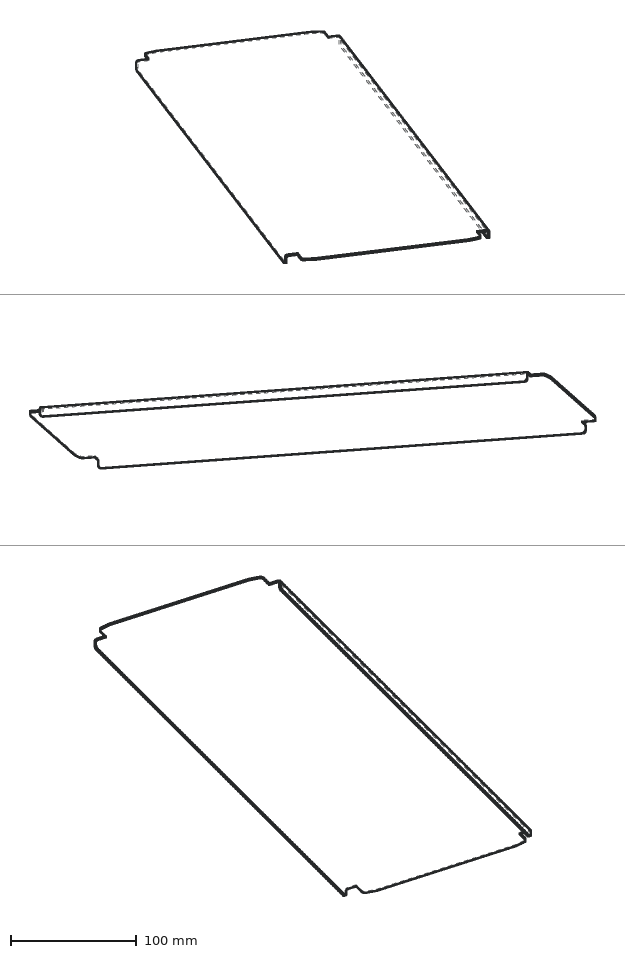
import cadquery as cq

length = 430.5
width = 170.5
height = 8.0

thickness = 1.5
outer_bend_radius = 2.5
inner_bend_radius = outer_bend_radius - thickness

flange_length = 403.5
flange_corner_radius = 2.5
tab_width = 149.5
tab_taper_length = 10.8
tab_taper_inset = 2.0
tab_corner_radius = 2.5


def folded_channel():
    """Flat sheet with a flange bent down along each long side, top face at Z = 0."""
    outside = (
        cq.Workplane("XY")
        .box(flange_length, width, height, centered=(True, True, False))
        .translate((0, 0, -height))
        .edges("|X and >Z")
        .fillet(outer_bend_radius)
    )
    inside_height = height - thickness
    inside = (
        cq.Workplane("XY")
        .box(flange_length, width - 2 * thickness, inside_height, centered=(True, True, False))
        .translate((0, 0, -height))
        .edges("|X and >Z")
        .fillet(inner_bend_radius)
    )
    return outside.cut(inside).edges("|Y and <Z").fillet(flange_corner_radius)


def end_tab_plate():
    """Flat plate that reaches past the flanges, each end tapered slightly to rounded corners."""
    half_length = length / 2
    half_width = tab_width / 2
    shoulder_x = half_length - tab_taper_inset
    end_y = half_width - tab_taper_length
    outline = [
        (half_length, -end_y),
        (half_length, end_y),
        (shoulder_x, half_width),
        (-shoulder_x, half_width),
        (-half_length, end_y),
        (-half_length, -end_y),
        (-shoulder_x, -half_width),
        (shoulder_x, -half_width),
    ]
    plate = cq.Workplane("XY").polyline(outline).close().extrude(-thickness)
    return plate.edges("|Z and (>Y or <Y)").fillet(tab_corner_radius)


result = folded_channel().union(end_tab_plate())